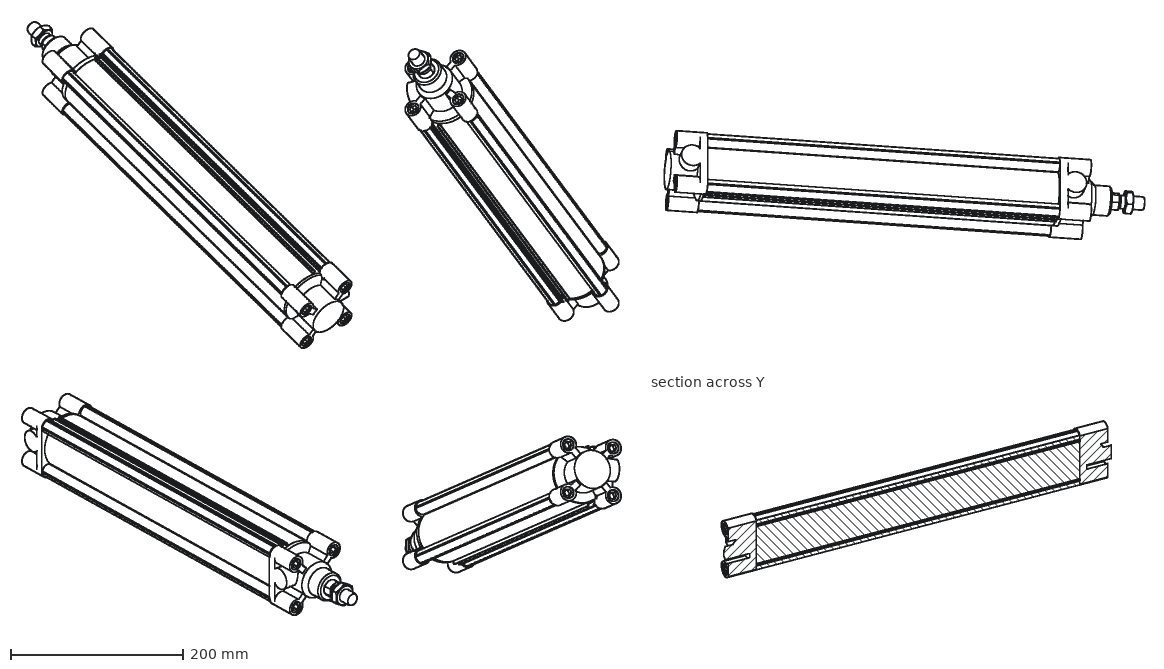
import cadquery as cq
import math

TOTAL_LENGTH = 562.0
NECK_START = 28.0
NECK_END = 30.5
COLLAR_FRONT = 40.0
COLLAR_END = 59.5
FLANGE_START = 65.0
FRONT_COVER_START = 68.5
FRONT_COVER_END = 105.5
REAR_COVER_START = 521.5
REAR_COVER_END = 557.5

THREAD_DIAMETER = 16.0
THREAD_TIP_DIAMETER = 14.0
THREAD_TIP_LENGTH = 3.0
NECK_DIAMETER = 13.5
ROD_DIAMETER = 19.5
ROD_ACROSS_FLATS = 17.5
ROD_FLAT_LENGTH = 11.0
NUT_START = 14.0
NUT_THICKNESS = 9.0
NUT_ACROSS_FLATS = 25.0
NUT_BEVEL_DIAMETER = 23.5
NUT_BEVEL_ANGLE = 30.0

COLLAR_DIAMETER = 35.0
COLLAR_CHAMFER = 2.0
HUB_DIAMETER = 45.0
PLATE_DIAMETER = 66.5
FRONT_PLATE_THICKNESS = 5.5
REAR_PLATE_THICKNESS = 3.5
FRONT_CONE_LENGTH = 4.0
REAR_CONE_LENGTH = 5.5
BOSS_DIAMETER = 19.5
BOSS_OFFSET = 28.0
WEB_WIDTH = 8.0
SCREW_RECESS_DIAMETER = 13.5
SCREW_RECESS_DEPTH = 1.5
SCREW_SOCKET_ACROSS_FLATS = 8.0
SCREW_SOCKET_DEPTH = 7.0
PORT_DIAMETER = 26.0
PORT_AXIS_Z = 5.0

BAR_DIAMETER = 16.0
BAR_OFFSET = 28.5
BAR_WEB_WIDTH = 8.0
GROOVE_WIDTH = 1.0
GROOVE_DEPTH = 1.0
SLOT_CENTER_Y = 14.5
SLOT_OPENING = 5.0
SLOT_BASE_WIDTH = 10.0
LIP_TOP_Z = 35.5
INNER_LIP_WIDTH = 1.0
OUTER_LIP_WIDTH = 2.0

COVER_HALF_WIDTH = BOSS_OFFSET + BOSS_DIAMETER / 2
CORNERS = [(y, z) for y in (-1, 1) for z in (-1, 1)]


def cylinder_x(diameter, start, end, y=0, z=0):
    """Round bar parallel to X between two stations."""
    plane = cq.Workplane("YZ", origin=(start, y, z))
    return plane.circle(diameter / 2).extrude(end - start)


def cone_x(start_diameter, end_diameter, start, end):
    """Truncated cone about the X axis."""
    outline = [(start, 0), (start, start_diameter / 2), (end, end_diameter / 2), (end, 0)]
    return cq.Workplane("XY").polyline(outline).close().revolve(360, (0, 0), (1, 0))


def box_x(start, end, y_min, y_max, z_min, z_max):
    size = (end - start, y_max - y_min, z_max - z_min)
    return cq.Workplane("XY", origin=(start, y_min, z_min)).box(*size, centered=False)


def corner_diameter(across_flats):
    """Diameter through the corners of a regular hexagon."""
    return across_flats / math.cos(math.radians(30))


def make_rod():
    """Piston rod with a tapered thread tip, a neck and two spanner flats."""
    rod = cone_x(THREAD_TIP_DIAMETER, THREAD_DIAMETER, 0, THREAD_TIP_LENGTH)
    rod = rod.union(cylinder_x(THREAD_DIAMETER, THREAD_TIP_LENGTH, NECK_START))
    rod = rod.union(cylinder_x(NECK_DIAMETER, NECK_START, NECK_END))
    rod = rod.union(cylinder_x(ROD_DIAMETER, NECK_END, FRONT_COVER_END))
    flats_end = NECK_END + ROD_FLAT_LENGTH
    half_flats = ROD_ACROSS_FLATS / 2
    for side in (-1, 1):
        y_limits = sorted((side * half_flats, side * ROD_DIAMETER))
        rod = rod.cut(box_x(NECK_END, flats_end, *y_limits, -ROD_DIAMETER, ROD_DIAMETER))
    return rod


def make_nut():
    """Hexagon nut with corners on Z, chamfered on both faces, threaded on the rod."""
    nut_corners = corner_diameter(NUT_ACROSS_FLATS)
    nut_end = NUT_START + NUT_THICKNESS
    hexagon = (
        cq.Workplane("YZ", origin=(NUT_START, 0, 0))
        .transformed(rotate=(0, 0, 90))
        .polygon(6, nut_corners)
        .extrude(NUT_THICKNESS)
    )
    bevel_radial = (nut_corners - NUT_BEVEL_DIAMETER) / 2
    bevel_axial = bevel_radial * math.tan(math.radians(NUT_BEVEL_ANGLE))
    envelope = cylinder_x(nut_corners, NUT_START, nut_end)
    envelope = envelope.faces("<X or >X").edges().chamfer(bevel_axial, bevel_radial)
    return hexagon.intersect(envelope).cut(cylinder_x(THREAD_DIAMETER, NUT_START, nut_end))


def make_hub_and_bosses(hub_start, hub_end, start, end):
    """Round hub with four screw bosses, each tied to the hub by a diagonal web."""
    reach = BOSS_OFFSET * math.sqrt(2)
    bosses = cylinder_x(HUB_DIAMETER, hub_start, hub_end)
    for side_y, side_z in CORNERS:
        web = box_x(start, end, 0, reach, -WEB_WIDTH / 2, WEB_WIDTH / 2)
        angle = math.degrees(math.atan2(side_z, side_y))
        bosses = bosses.union(web.rotate((0, 0, 0), (1, 0, 0), angle))
        boss = cylinder_x(BOSS_DIAMETER, start, end, side_y * BOSS_OFFSET, side_z * BOSS_OFFSET)
        bosses = bosses.union(boss)
    return bosses


def make_screw_hole(face, direction, y, z):
    """Cutter for a round screw recess with a hexagon socket in its floor."""
    floor = face + direction * SCREW_RECESS_DEPTH
    recess = cylinder_x(SCREW_RECESS_DIAMETER, min(face, floor), max(face, floor), y, z)
    socket = cq.Workplane("YZ", origin=(floor, y, z))
    socket = socket.polygon(6, corner_diameter(SCREW_SOCKET_ACROSS_FLATS))
    return recess.union(socket.extrude(direction * SCREW_SOCKET_DEPTH))


def cut_screw_holes(cover, face, direction):
    for side_y, side_z in CORNERS:
        cover = cover.cut(make_screw_hole(face, direction, side_y * BOSS_OFFSET, side_z * BOSS_OFFSET))
    return cover


def make_port_side(start, end, plate_start, plate_end):
    """Plate extension and round port boss on the +Y side."""
    inner_y = BOSS_OFFSET - BOSS_DIAMETER / 2
    extension = box_x(plate_start, plate_end, inner_y, COVER_HALF_WIDTH, -BOSS_OFFSET, BOSS_OFFSET)
    port = cq.Workplane("XZ", origin=((start + end) / 2, 0, PORT_AXIS_Z))
    port = port.circle(PORT_DIAMETER / 2).extrude(-COVER_HALF_WIDTH)
    return extension.union(port)


def make_front_cover():
    plate_start = FRONT_COVER_END - FRONT_PLATE_THICKNESS
    cone_start = plate_start - FRONT_CONE_LENGTH
    collar = cylinder_x(COLLAR_DIAMETER, COLLAR_FRONT, FLANGE_START)
    collar = collar.faces("<X").chamfer(COLLAR_CHAMFER)
    cover = make_hub_and_bosses(FLANGE_START, FRONT_COVER_END, FRONT_COVER_START, FRONT_COVER_END)
    cover = cover.union(collar)
    cover = cover.union(cone_x(COLLAR_DIAMETER, HUB_DIAMETER, COLLAR_END, FLANGE_START))
    cover = cover.union(cylinder_x(PLATE_DIAMETER, plate_start, FRONT_COVER_END))
    cover = cover.union(cone_x(HUB_DIAMETER, PLATE_DIAMETER, cone_start, plate_start))
    cover = cover.union(make_port_side(FRONT_COVER_START, FRONT_COVER_END, cone_start, FRONT_COVER_END))
    cover = cut_screw_holes(cover, FRONT_COVER_START, 1)
    return cover.cut(cylinder_x(ROD_DIAMETER, COLLAR_FRONT, FRONT_COVER_END))


def make_rear_cover():
    plate_end = REAR_COVER_START + REAR_PLATE_THICKNESS
    cone_end = plate_end + REAR_CONE_LENGTH
    cover = make_hub_and_bosses(REAR_COVER_START, TOTAL_LENGTH, REAR_COVER_START, REAR_COVER_END)
    cover = cover.union(cylinder_x(PLATE_DIAMETER, REAR_COVER_START, plate_end))
    cover = cover.union(cone_x(PLATE_DIAMETER, HUB_DIAMETER, plate_end, cone_end))
    cover = cover.union(make_port_side(REAR_COVER_START, REAR_COVER_END, REAR_COVER_START, cone_end))
    return cut_screw_holes(cover, REAR_COVER_END, -1)


def make_bar(side_y, side_z, start, end):
    """Corner bar with its web to the barrel and a groove along its two outermost lines."""
    web = box_x(start, end, 0, BAR_OFFSET * math.sqrt(2), -BAR_WEB_WIDTH / 2, BAR_WEB_WIDTH / 2)
    angle = math.degrees(math.atan2(side_z, side_y))
    bar = web.rotate((0, 0, 0), (1, 0, 0), angle)
    y, z = side_y * BAR_OFFSET, side_z * BAR_OFFSET
    bar = bar.union(cylinder_x(BAR_DIAMETER, start, end, y, z))
    length = end - start
    middle = (start + end) / 2
    outermost = BAR_OFFSET + BAR_DIAMETER / 2
    groove = cq.Workplane("XY", origin=(middle, side_y * outermost, z))
    bar = bar.cut(groove.box(length, 2 * GROOVE_DEPTH, GROOVE_WIDTH))
    groove = cq.Workplane("XY", origin=(middle, y, side_z * outermost))
    return bar.cut(groove.box(length, GROOVE_WIDTH, 2 * GROOVE_DEPTH))


def make_slot_lips(side_z, start, end):
    """Two lips that lean over a sensor slot; the outer one is backed by the corner bar."""
    top_z, base_z = side_z * LIP_TOP_Z, side_z * BAR_OFFSET
    inner_tip = SLOT_CENTER_Y - SLOT_OPENING / 2
    inner_base = SLOT_CENTER_Y - SLOT_BASE_WIDTH / 2
    outer_tip = SLOT_CENTER_Y + SLOT_OPENING / 2
    outer_base = SLOT_CENTER_Y + SLOT_BASE_WIDTH / 2
    inner_outline = [
        (inner_tip, top_z),
        (inner_tip - INNER_LIP_WIDTH, top_z),
        (inner_base - INNER_LIP_WIDTH, base_z),
        (inner_base, base_z),
    ]
    outer_outline = [
        (outer_tip, top_z),
        (outer_tip + OUTER_LIP_WIDTH, top_z),
        (BAR_OFFSET, base_z),
        (outer_base, base_z),
    ]
    plane = cq.Workplane("YZ", origin=(start, 0, 0))
    inner = plane.polyline(inner_outline).close().extrude(end - start)
    outer = plane.polyline(outer_outline).close().extrude(end - start)
    return inner, outer


def make_barrel():
    """Round barrel with four corner bars and a sensor slot above and below."""
    start, end = FRONT_COVER_END, REAR_COVER_START
    barrel = cylinder_x(PLATE_DIAMETER, start, end)
    for side_y, side_z in CORNERS:
        barrel = barrel.union(make_bar(side_y, side_z, start, end))
    for side_z in (-1, 1):
        for lip in make_slot_lips(side_z, start, end):
            barrel = barrel.union(lip)
    return barrel


rod = make_rod()
nut = make_nut()
front_cover = make_front_cover()
barrel = make_barrel()
rear_cover = make_rear_cover()

result = cq.Compound.makeCompound(
    [rod.val(), nut.val(), front_cover.val(), barrel.val(), rear_cover.val()]
)